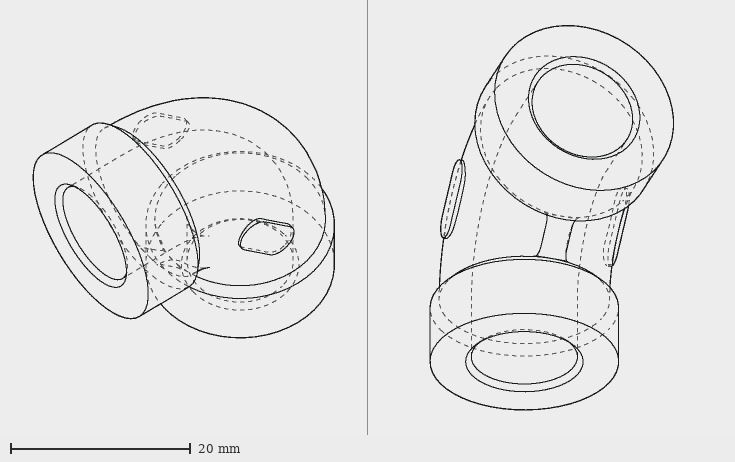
import cadquery as cq
import math

overall = 31.5
collar_diameter = 21.0
collar_length = 8.0
collar_chamfer = 1.0
bore_diameter = 11.8
mouth_diameter = 13.07
web_thickness = 3.0
web_fillet = 1.0
pad_width = 4.0
pad_centre_distance = 5.0
pad_offset = 0.1
pad_span = 19.62

collar_radius = collar_diameter / 2
body_radius = collar_radius - collar_chamfer
bore_radius = bore_diameter / 2
mouth_chamfer = mouth_diameter / 2 - bore_radius
bend_radius = overall - collar_length - collar_radius
throat_radius = bend_radius - body_radius



def quarter_bend(radius):
    """Round bar swept through 90 degrees from the +Y side to the +Z side."""
    section = cq.Workplane("XY").center(0, bend_radius).circle(radius)
    return section.revolve(90, (0, -bend_radius, 0), (1, -bend_radius, 0))


def turned_leg(points):
    """Turned shape on the vertical leg axis, from (radius, Z) outline points."""
    outline = cq.Workplane("XZ").polyline(points).close()
    return outline.revolve(360, (0, 0, 0), (0, 1, 0)).translate((0, bend_radius, 0))


def on_both_legs(vertical):
    """Add the copy on the horizontal leg by a half turn about the bisector Y = Z."""
    return vertical.union(vertical.rotate((0, 0, 0), (0, 1, 1), 180))


def collars():
    return on_both_legs(turned_leg([
        (0, 0),
        (body_radius, 0),
        (collar_radius, -collar_chamfer),
        (collar_radius, -collar_length),
        (0, -collar_length),
    ]))


def straight_bores():
    return on_both_legs(turned_leg([
        (0, 0),
        (bore_radius, 0),
        (bore_radius, mouth_chamfer - collar_length),
        (bore_radius + mouth_chamfer, -collar_length),
        (0, -collar_length),
    ]))


def web():
    """Rib across the inside of the bend, filleted to the body and cut flat at 45 degrees."""
    half = web_thickness / 2
    centre_x = half + web_fillet
    centre_distance = body_radius + web_fillet
    centre_angle = math.asin(centre_x / centre_distance)
    centre_y = bend_radius - centre_distance * math.cos(centre_angle)

    contact_x = body_radius * math.sin(centre_angle)
    contact_y = bend_radius - body_radius * math.cos(centre_angle)
    middle_angle = centre_angle / 2 + math.pi / 4
    middle_x = centre_x - web_fillet * math.sin(middle_angle)
    middle_y = centre_y + web_fillet * math.cos(middle_angle)

    inner_y = throat_radius / 2
    root_y = throat_radius + web_fillet
    rib = (
        cq.Workplane("XY")
        .moveTo(-half, inner_y)
        .lineTo(half, inner_y)
        .lineTo(half, centre_y)
        .threePointArc((middle_x, middle_y), (contact_x, contact_y))
        .lineTo(contact_x, root_y)
        .lineTo(-contact_x, root_y)
        .lineTo(-contact_x, contact_y)
        .threePointArc((-middle_x, middle_y), (-half, centre_y))
        .close()
        .revolve(90, (0, 0, 0), (1, 0, 0))
    )
    open_corner = (
        cq.Workplane("YZ")
        .polyline([(0, 0), (throat_radius, 0), (0, throat_radius)])
        .close()
        .extrude(body_radius, both=True)
    )
    return rib.cut(open_corner)


def side_pads():
    """Oblong bar through the middle of the bend, leaving a flat pad on each side."""
    middle = bend_radius * math.sqrt(0.5)
    return (
        cq.Workplane("YZ")
        .center(middle, middle)
        .transformed(rotate=(0, 0, -45))
        .center(pad_offset, 0)
        .slot2D(pad_centre_distance + pad_width, pad_width)
        .extrude(pad_span / 2, both=True)
    )


body = quarter_bend(body_radius).union(collars()).union(web()).union(side_pads())
result = body.cut(quarter_bend(bore_radius)).cut(straight_bores())